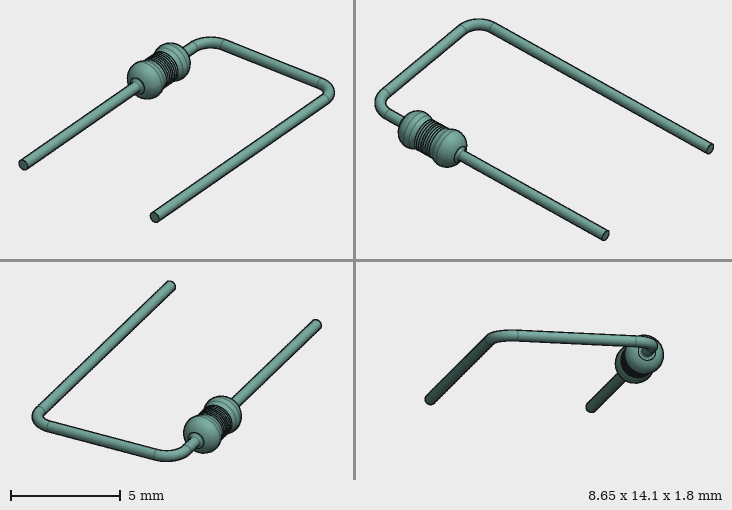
import cadquery as cq
import math

lead_diameter = 0.5
lead_pitch = 7.5
bend_radius = 1.0
overall_length = 14.05

body_diameter = 1.8
waist_diameter = 1.53
cap_end_diameter = 0.81
collar_offset = 1.74
cap_end_offset = 1.62
cap_peak_offset = 0.97
cap_edge_offset = 0.7
body_top_clearance = 3.85

band_diameter = 1.55
band_count = 4
banded_length = 0.87

lead_radius = lead_diameter / 2
body_radius = body_diameter / 2
top_y = overall_length / 2 - lead_radius
leg_end_y = -overall_length / 2
bend_y = top_y - bend_radius
body_y = overall_length / 2 - body_top_clearance


def make_wire():
    """Sweep the round wire down one leg, across the top and down the other."""
    diagonal = bend_radius / math.sqrt(2)
    left_bend_x = bend_radius
    right_bend_x = lead_pitch - bend_radius
    path = (
        cq.Workplane("XY")
        .moveTo(0, leg_end_y)
        .lineTo(0, bend_y)
        .threePointArc((left_bend_x - diagonal, bend_y + diagonal), (left_bend_x, top_y))
        .lineTo(right_bend_x, top_y)
        .threePointArc((right_bend_x + diagonal, bend_y + diagonal), (lead_pitch, bend_y))
        .lineTo(lead_pitch, leg_end_y)
    )
    section = cq.Workplane("XZ", origin=(0, leg_end_y, 0)).circle(lead_radius)
    return section.sweep(path)


def make_cap(side):
    """Revolve one rounded end cap with its flares; side is +1 or -1 along Y."""
    waist_radius = waist_diameter / 2
    cap_end_radius = cap_end_diameter / 2
    waist_offset = banded_length / 2

    cap_drop = body_radius - cap_end_radius
    cap_run = cap_end_offset - cap_peak_offset
    cap_arc_radius = (cap_run**2 + cap_drop**2) / (2 * cap_drop)
    cap_arc_centre = body_radius - cap_arc_radius

    def cap_radius_at(offset):
        return cap_arc_centre + math.sqrt(cap_arc_radius**2 - (offset - cap_peak_offset)**2)

    cap_edge = (cap_radius_at(cap_edge_offset), side * cap_edge_offset)
    cap_peak = (body_radius, side * cap_peak_offset)
    cap_end = (cap_end_radius, side * cap_end_offset)
    cap_middle_offset = (cap_peak_offset + cap_end_offset) / 2
    cap_middle = (cap_radius_at(cap_middle_offset), side * cap_middle_offset)
    inner_cap_offset = (cap_edge_offset + cap_peak_offset) / 2
    inner_cap_middle = (cap_radius_at(inner_cap_offset), side * inner_cap_offset)

    profile = (
        cq.Workplane("XY", origin=(0, body_y, 0))
        .lineTo(waist_radius, 0)
        .lineTo(waist_radius, side * waist_offset)
        .tangentArcPoint(cap_edge, relative=False)
        .threePointArc(inner_cap_middle, cap_peak)
        .threePointArc(cap_middle, cap_end)
    )
    flare_run = collar_offset - cap_end_offset
    flare_rise = cap_end_radius - lead_radius
    flare_radius = (flare_run**2 + flare_rise**2) / (2 * flare_rise)
    half_angle = math.atan2(flare_rise, flare_run)
    flare_middle = (
        lead_radius + flare_radius * (1 - math.cos(half_angle)),
        side * (collar_offset - flare_radius * math.sin(half_angle)),
    )
    profile = (
        profile.threePointArc(flare_middle, (lead_radius, side * collar_offset))
        .lineTo(0, side * collar_offset)
        .close()
    )
    return profile.revolve(360, (0, 0, 0), (0, 1, 0))


def make_bands():
    """Make the evenly spaced colour bands around the waist."""
    band_width = banded_length / (2 * band_count - 1)
    first_band_y = body_y - banded_length / 2
    bands = cq.Workplane("XY")
    for index in range(band_count):
        band_y = first_band_y + 2 * band_width * index
        band = (
            cq.Workplane("XZ", origin=(0, band_y, 0))
            .circle(band_diameter / 2)
            .extrude(-band_width)
        )
        bands = bands.add(band)
    return bands.combine()


result = make_wire().union(make_cap(1)).union(make_cap(-1))
result = result.union(make_bands())